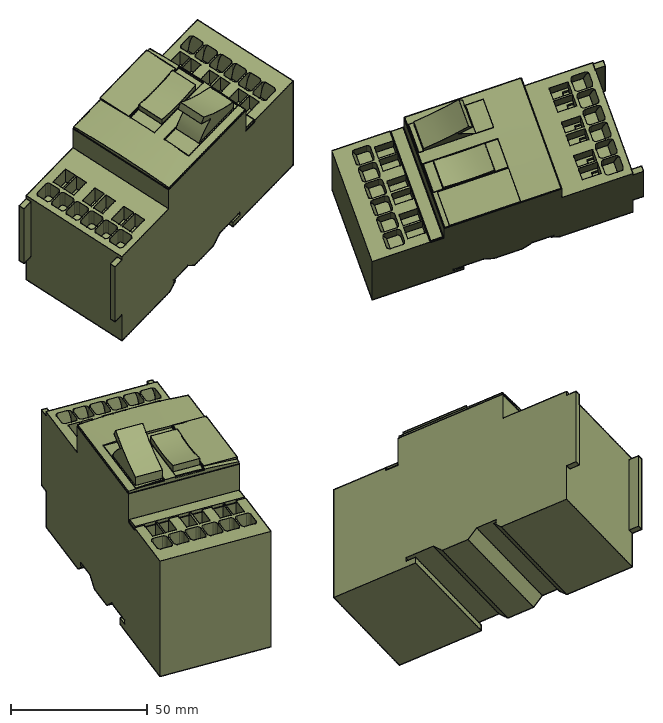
import cadquery as cq

width = 44.6
total_depth = 105.2
rail_depth = 4.1
housing_depth = total_depth - rail_depth
shelf_z = 52.5
half_width = width / 2

block_front_y = 27.6
block_back_y = 73.3
block_top_z = 64.3
crown_end_inset = 0.3
crown_side_inset = 0.1
crown_edge_z = 65.3
crown_apex_z = 66.2
crown_front_y = block_front_y + crown_end_inset
crown_back_y = block_back_y - crown_end_inset

pocket_front_y = 43.6
pocket_rim = 0.4
pocket_back_y = crown_back_y - pocket_rim
pocket_width = 11.5
pocket_floor_z = crown_edge_z
rocker_x = -8.4
lever_x = 7.6
pad_back_y = 71.1
pad_right_x = rocker_x - pocket_rim

slot_roof_z = 4.5
hook_top_z = 2.8
hook_tip_y = 65.6
hook_root_y = 69.8
tongue_z = 0.6
tongue_root_back_y = 57.9
tongue_tip_back_y = 54.0
tongue_tip_front_y = 42.8
tongue_root_front_y = 39.0
catch_root_y = 30.6
catch_tip_y = 31.7
catch_top_z = 3.2
catch_base_y = 28.4

rail_width = 2.2
rail_bottom_z = 16.3
rail_top_z = 50.6

entry_count = 6
entry_pitch = 6.7
entry_width = 6.1
entry_length = 7.0
entry_corner = 1.3
entry_depth = 8.0
entry_ramp_run = 1.9
front_entry_y = 2.6
back_entry_y = 87.4

pair_pitch = 13.6
release_pitch = 5.2
outer_release_width = 4.5
middle_release_width = 4.3
release_length = 7.4
release_depth = 8.0
socket_width = 2.6
socket_length = 2.5
socket_depth = 2.1
front_release_y = 10.9

recess_length = 5.4
recess_depth = 1.0
label_clearance = 0.3
label_thickness = 1.4
back_release_y = block_back_y + recess_length

control_width = 10.8
rocker_front_y = 48.7
rocker_back_y = 68.7
rocker_end_z = 68.1
rocker_sag = 0.9
lever_back_y = 70.7
lever_back_z = 69.0
lever_base_front_y = 50.4
lever_saddle = (59.0, 74.5)
lip_top = (53.3, 78.5)
lip_bottom = (51.8, 75.9)
lip_root = (57.3, 72.9)
lever_belly = (54.1, 70.1)


def box(x_min, x_max, y_min, y_max, z_min, z_max):
    size = (x_max - x_min, y_max - y_min, z_max - z_min)
    return cq.Workplane("XY").box(*size, centered=False).translate((x_min, y_min, z_min))


def side_plane(x):
    """Sketch plane facing +X: local x is Y and local y is Z."""
    return cq.Workplane("YZ", origin=(x, 0, 0))


def housing_shell():
    """Stepped side outline with the rail slot in its base."""
    outline = [
        (0, 0),
        (0, shelf_z),
        (block_front_y, shelf_z),
        (block_front_y, block_top_z),
        (block_back_y, block_top_z),
        (block_back_y, shelf_z),
        (housing_depth, shelf_z),
        (housing_depth, 0),
        (hook_tip_y, 0),
        (hook_tip_y, hook_top_z),
        (hook_root_y, hook_top_z),
        (hook_root_y, slot_roof_z),
        (tongue_root_back_y, slot_roof_z),
        (tongue_tip_back_y, tongue_z),
        (tongue_tip_front_y, tongue_z),
        (tongue_root_front_y, slot_roof_z),
        (catch_root_y, slot_roof_z),
        (catch_root_y, catch_top_z),
        (catch_tip_y, catch_top_z),
        (catch_base_y, 0),
    ]
    return side_plane(-half_width).polyline(outline).close().extrude(width)


def crown():
    """Top of the block, arched across the width and set in slightly from its sides."""
    half_crown = half_width - crown_side_inset
    return (
        cq.Workplane("XZ", origin=(0, crown_back_y, 0))
        .moveTo(-half_crown, block_top_z)
        .lineTo(half_crown, block_top_z)
        .lineTo(half_crown, crown_edge_z)
        .threePointArc((0, crown_apex_z), (-half_crown, crown_edge_z))
        .close()
        .extrude(crown_back_y - crown_front_y)
    )


def pad():
    """Flat pad level with the top of the crown and flush with the housing side."""
    return box(-half_width, pad_right_x, pocket_front_y, pad_back_y, crown_edge_z, crown_apex_z)


def control_pocket(x):
    return box(x, x + pocket_width, pocket_front_y, pocket_back_y, pocket_floor_z, crown_apex_z)


def guide_rail(x):
    return box(x, x + rail_width, -rail_depth, 0, rail_bottom_z, rail_top_z)


def wire_entry(x, y, ramp_at_back):
    """Rounded well whose outer wall slopes inward down to the floor."""
    floor_z = shelf_z - entry_depth
    well = (
        box(x - entry_width / 2, x + entry_width / 2, y, y + entry_length, floor_z, shelf_z)
        .edges("|Z")
        .fillet(entry_corner)
    )
    outer_y = y + entry_length if ramp_at_back else y
    inward = -entry_ramp_run if ramp_at_back else entry_ramp_run
    ramp = (
        side_plane(x - entry_width / 2)
        .polyline([(outer_y, shelf_z), (outer_y, floor_z), (outer_y + inward, floor_z)])
        .close()
        .extrude(entry_width)
    )
    return well.cut(ramp)


def release_slot(x, y, slot_width):
    return box(
        x - slot_width / 2, x + slot_width / 2, y, y + release_length, shelf_z - release_depth, shelf_z
    )


def release_socket(x):
    """Small well in the floor of a front release slot."""
    floor_z = shelf_z - release_depth
    return box(
        x - socket_width / 2,
        x + socket_width / 2,
        front_release_y,
        front_release_y + socket_length,
        floor_z - socket_depth,
        floor_z,
    )


def make_housing():
    body = housing_shell().union(crown()).union(pad())
    for x in (rocker_x, lever_x):
        body = body.cut(control_pocket(x))
    for x in (-half_width, half_width - rail_width):
        body = body.union(guide_rail(x))
    for i in range(entry_count):
        x = (i - (entry_count - 1) / 2) * entry_pitch
        body = body.cut(wire_entry(x, front_entry_y, ramp_at_back=False))
        body = body.cut(wire_entry(x, back_entry_y, ramp_at_back=True))
    for pair in (-1, 0, 1):
        slot_width = outer_release_width if pair else middle_release_width
        for side in (-1, 1):
            x = pair * pair_pitch + side * release_pitch / 2
            body = body.cut(release_slot(x, front_release_y, slot_width))
            body = body.cut(release_slot(x, back_release_y, slot_width))
            body = body.cut(release_socket(x))
    recess = box(
        -half_width, half_width, block_back_y, block_back_y + recess_length, shelf_z - recess_depth, shelf_z
    )
    return body.cut(recess)


def make_label_strip():
    bottom_z = shelf_z - recess_depth
    return box(
        -half_width + label_clearance,
        half_width - label_clearance,
        block_back_y + label_clearance,
        block_back_y + recess_length - label_clearance,
        bottom_z,
        bottom_z + label_thickness,
    )


def make_rocker():
    """Button with a dished top."""
    middle_y = (rocker_front_y + rocker_back_y) / 2
    return (
        side_plane(rocker_x)
        .moveTo(rocker_front_y, pocket_floor_z)
        .lineTo(rocker_front_y, rocker_end_z)
        .threePointArc((middle_y, rocker_end_z - rocker_sag), (rocker_back_y, rocker_end_z))
        .lineTo(rocker_back_y, pocket_floor_z)
        .close()
        .extrude(control_width)
    )


def make_lever():
    """Toggle with a dished top, a rounded front and a finger lip pointing up and forward."""
    return (
        side_plane(lever_x)
        .moveTo(lever_back_y, pocket_floor_z)
        .lineTo(lever_back_y, lever_back_z)
        .threePointArc(lever_saddle, lip_top)
        .lineTo(*lip_bottom)
        .lineTo(*lip_root)
        .threePointArc(lever_belly, (lever_base_front_y, pocket_floor_z))
        .close()
        .extrude(control_width)
    )


housing = make_housing()
label_strip = make_label_strip()
rocker = make_rocker()
lever = make_lever()

result = cq.Compound.makeCompound([housing.val(), label_strip.val(), rocker.val(), lever.val()])